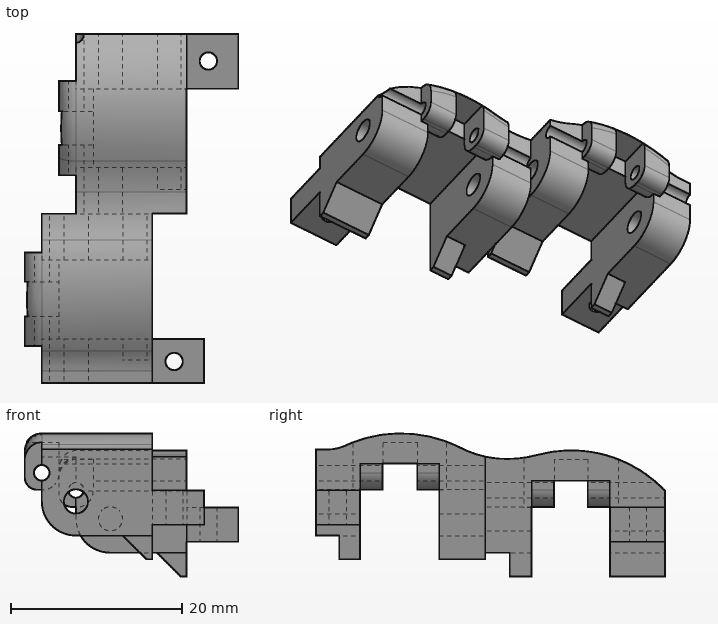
import cadquery as cq

LENGTH = 40.85
SPLIT_Y = 19.8
STEP_X = 4.0
STEP_Z = 2.0

BODY_FRONT_X = 2.0
BODY_BACK_X = 14.95
BODY_BOTTOM_Z = 4.78
CORNER_RADIUS = 4.0
BORE_DIAMETER = 2.8
CAVITY_CEILING_Z = 13.2
ABOVE_PART_Z = 20.42

HOOK_DEPTH = 2.78
HOOK_TIP_WIDTH = 0.7

PIN_Z = 12.15
PIN_DIAMETER = 1.8
LUG_RADIUS = 2.0
LUG_TOE_RADIUS = 1.5
LUG_FILLET_RADIUS = LUG_RADIUS - 0.005
NOTCH_TOP_Z = 15.73

TAB_LENGTH = 6.05
TAB_BOTTOM_Z = 6.05
TAB_HEIGHT = 4.05
TAB_HOLE_DIAMETER = 2.0
TAB_HOLE_OFFSET = 2.55


def box(x_range, y_range, z_range):
    """Box between the given limits on each axis."""
    size = [high - low for low, high in (x_range, y_range, z_range)]
    corner = (x_range[0], y_range[0], z_range[0])
    return cq.Workplane("XY").box(*size, centered=False).translate(corner)


def section(y_start):
    """XZ sketch plane at y_start whose extrusions grow toward +Y."""
    return cq.Workplane(cq.Plane((0, y_start, 0), (1, 0, 0), (0, -1, 0)))


def extrude_y(sketch, y_range):
    return sketch.extrude(-(y_range[1] - y_range[0]))


def rod(x, z, diameter, y_range):
    """Cylinder parallel to Y."""
    return extrude_y(section(y_range[0]).center(x, z).circle(diameter / 2), y_range)


def space_under_top(x_start, x_end):
    """Everything below the wavy top surface, between two X positions."""
    return (
        cq.Workplane("YZ", origin=(x_start, 0, 0))
        .lineTo(0, 14.85)
        .lineTo(1.45, 14.85)
        .threePointArc((2.6, 15.05), (3.8, 15.5))
        .threePointArc((9.93, 16.75), (16.75, 15.15))
        .threePointArc((19.4, 14.15), (22.4, 13.75))
        .threePointArc((24.2, 13.9), (26.0, 14.25))
        .threePointArc((34.3, 14.1), (LENGTH, 10.0))
        .lineTo(LENGTH, 0)
        .close()
        .extrude(x_end - x_start)
    )


def make_body(dx, dz, y_range, cavity):
    """Segment block with a rounded lower front edge and a cavity between its legs."""
    front = BODY_FRONT_X + dx
    back = BODY_BACK_X + dx
    bottom = BODY_BOTTOM_Z + dz
    block = box((front, back), y_range, (bottom, ABOVE_PART_Z))
    block = block.edges("<X and <Z").fillet(CORNER_RADIUS)
    block = block.intersect(space_under_top(front, back))
    return block.cut(box((front, back), cavity, (bottom, CAVITY_CEILING_Z + dz)))


def make_hook(dx, dz, y_range):
    """Wedge below a leg, sloping at 45 degrees toward the back."""
    back = BODY_BACK_X + dx
    top = BODY_BOTTOM_Z + dz
    tip = top - HOOK_DEPTH
    tip_x = back - HOOK_TIP_WIDTH
    outline = section(y_range[0]).polyline(
        [(tip_x - HOOK_DEPTH, top), (tip_x, tip), (back, tip), (back, top)]
    )
    return extrude_y(outline.close(), y_range)


def make_lug(dx, dz, y_range):
    """Hinge lug around the pin, with its upper front edge rounded along the top."""
    front = BODY_FRONT_X + dx - LUG_RADIUS
    back = front + 2 * LUG_RADIUS
    bottom = PIN_Z + dz - LUG_RADIUS
    lug = box((front, back), y_range, (bottom, ABOVE_PART_Z))
    lug = lug.intersect(space_under_top(front, back))
    lug = lug.faces("<X").edges(">Z").fillet(LUG_FILLET_RADIUS)
    lug = lug.edges("|Y and <X and <Z").fillet(LUG_TOE_RADIUS)
    return lug.edges("|Y and >X and <Z").fillet(LUG_FILLET_RADIUS)


def make_tab(dx, dz, y_range, hole_y):
    start = BODY_BACK_X + dx
    bottom = TAB_BOTTOM_Z + dz
    tab = box((start, start + TAB_LENGTH), y_range, (bottom, bottom + TAB_HEIGHT))
    hole = (
        cq.Workplane("XY", origin=(start + TAB_HOLE_OFFSET, hole_y, bottom))
        .circle(TAB_HOLE_DIAMETER / 2)
        .extrude(TAB_HEIGHT)
    )
    return tab.cut(hole)


def make_segment(dx, dz, y_range, cavity, lug, notch, hooks, tab, tab_hole_y):
    front = BODY_FRONT_X + dx
    notch_x = (front - LUG_RADIUS, front + LUG_RADIUS)
    notch_z = (PIN_Z + dz - LUG_RADIUS, NOTCH_TOP_Z + dz)
    segment = make_body(dx, dz, y_range, cavity)
    for hook in hooks:
        segment = segment.union(make_hook(dx, dz, hook))
    segment = segment.union(make_lug(dx, dz, lug))
    segment = segment.cut(box(notch_x, notch, notch_z))
    segment = segment.cut(rod(front, PIN_Z + dz, PIN_DIAMETER, y_range))
    bore_x = front + CORNER_RADIUS
    bore_z = BODY_BOTTOM_Z + CORNER_RADIUS + dz
    segment = segment.cut(rod(bore_x, bore_z, BORE_DIAMETER, y_range))
    return segment.union(make_tab(dx, dz, tab, tab_hole_y))


front_segment = make_segment(
    dx=0,
    dz=0,
    y_range=(0, SPLIT_Y),
    cavity=(5.2, 14.4),
    lug=(4.35, 15.28),
    notch=(7.8, 11.85),
    hooks=[(2.75, 5.2), (14.4, SPLIT_Y)],
    tab=(0, 5.2),
    tab_hole_y=2.55,
)
rear_segment = make_segment(
    dx=STEP_X,
    dz=-STEP_Z,
    y_range=(SPLIT_Y, LENGTH),
    cavity=(25.25, 34.4),
    lug=(24.3, 35.35),
    notch=(27.85, 31.8),
    hooks=[(22.67, 25.25), (34.4, LENGTH)],
    tab=(34.4, LENGTH),
    tab_hole_y=37.65,
)
result = front_segment.union(rear_segment)